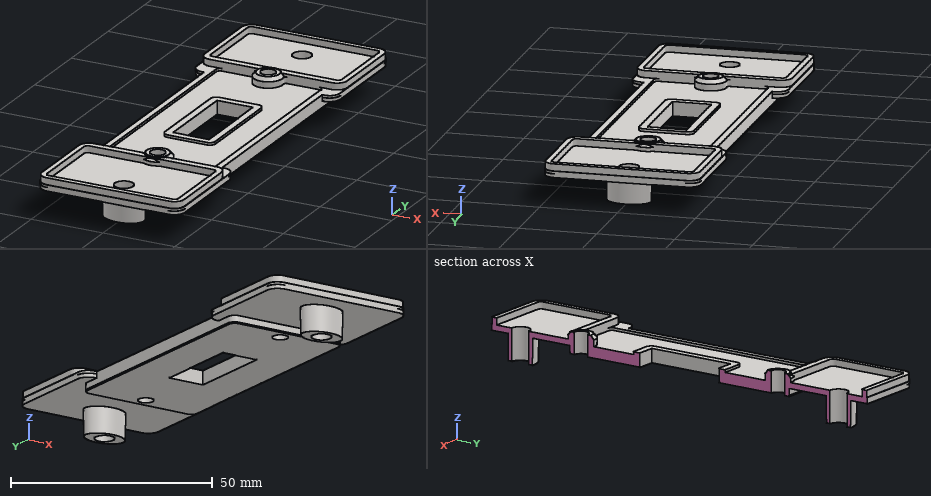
import cadquery as cq

PLATE_TOP = 1.7
RIM_TOP = 3.5
STRIP_BOTTOM = -2.1
STRIP_FLOOR = 1.0
PILLAR_BOTTOM = -7.0
BOSS_SHOULDER = 2.7
BOSS_TOP = 3.8

LENGTH = 114.6
PLATE_WIDTH = 40.0
PLATE_LENGTH = 30.0
PLATE_RADIUS = 2.9
FOOT_RADIUS = 3.1
FOOT_TOP = 1.0
TRAY_LENGTH = 25.9
RIM_INSET = 0.1
TRAY_WALL = 1.7
TRAY_INNER_WALL = 2.1
TRAY_POCKET_RADIUS = 1.0

STRIP_WIDTH = 33.0
STRIP_LENGTH = 66.9
STRIP_RADIUS = 2.0
STRIP_EDGE_HEIGHT = 0.3
STRIP_EDGE_INSET = 0.1
STRIP_WALL = 1.8
STRIP_POCKET_RADIUS = 1.0

WINDOW_WIDTH = 10.0
WINDOW_LENGTH = 24.0
FRAME_WALL = 2.1
FRAME_RADIUS = 1.6

BOSS_Y = 30.0
BOSS_RADIUS = 4.0
BOSS_TOP_RADIUS = 3.1
BOSS_HOLE = 4.0
BOSS_BLEND_RADIUS = 0.6
BOSS_BLEND_WIDTH = 11.5

PILLAR_Y = 48.5
PILLAR_WIDTH = 11.6
PILLAR_DEPTH = 7.7
PILLAR_INSET = 0.1
PILLAR_HOLE = 5.0

HALF_LENGTH = LENGTH / 2
TRAY_INNER_Y = HALF_LENGTH - TRAY_LENGTH


def rounded_block(width, length, radius, bottom, top, y=0):
    """Block with rounded upright corners, centred on X = 0."""
    outline = cq.Sketch().rect(width, length).vertices().fillet(radius)
    plane = cq.Workplane("XY", origin=(0, y, bottom))
    return plane.placeSketch(outline).extrude(top - bottom)


def cylinder(radius, y, bottom, top):
    return cq.Workplane("XY", origin=(0, y, bottom)).circle(radius).extrude(top - bottom)


def end_plate():
    """Plate and tray rim at the +Y end; the plate's corners are cut back a little at the foot."""
    plate_y = HALF_LENGTH - PLATE_LENGTH / 2
    rim_width = PLATE_WIDTH - 2 * RIM_INSET
    rim_length = TRAY_LENGTH - RIM_INSET
    rim_y = TRAY_INNER_Y + rim_length / 2
    foot = rounded_block(PLATE_WIDTH, PLATE_LENGTH, FOOT_RADIUS, 0, FOOT_TOP, plate_y)
    plate = rounded_block(PLATE_WIDTH, PLATE_LENGTH, PLATE_RADIUS, FOOT_TOP, PLATE_TOP, plate_y)
    rim = rounded_block(rim_width, rim_length, PLATE_RADIUS, PLATE_TOP, RIM_TOP, rim_y)
    return foot.union(plate).union(rim)


def tray_pocket():
    outer_y = HALF_LENGTH - TRAY_WALL
    inner_y = TRAY_INNER_Y + TRAY_INNER_WALL
    return rounded_block(
        PLATE_WIDTH - 2 * TRAY_WALL, outer_y - inner_y, TRAY_POCKET_RADIUS,
        PLATE_TOP, RIM_TOP, (outer_y + inner_y) / 2,
    )


def strip():
    """Connecting strip, its narrow lower edge slightly bevelled."""
    body = rounded_block(STRIP_WIDTH, STRIP_LENGTH, STRIP_RADIUS, STRIP_BOTTOM, PLATE_TOP)
    return body.faces("<Z").chamfer(STRIP_EDGE_HEIGHT, STRIP_EDGE_INSET)


def strip_pocket():
    """Sunken floor between the trays, leaving the window frame standing."""
    pocket = rounded_block(
        STRIP_WIDTH - 2 * STRIP_WALL, 2 * TRAY_INNER_Y, STRIP_POCKET_RADIUS,
        STRIP_FLOOR, PLATE_TOP,
    )
    frame = rounded_block(
        WINDOW_WIDTH + 2 * FRAME_WALL, WINDOW_LENGTH + 2 * FRAME_WALL, FRAME_RADIUS,
        STRIP_FLOOR, PLATE_TOP,
    )
    return pocket.cut(frame)


def window():
    plane = cq.Workplane("XY", origin=(0, 0, STRIP_BOTTOM))
    return plane.rect(WINDOW_WIDTH, WINDOW_LENGTH).extrude(PLATE_TOP - STRIP_BOTTOM)


def boss():
    """Round boss with a conical top, blended into the tray wall it stands on."""
    base = (
        cq.Workplane("XY", origin=(0, TRAY_INNER_Y + TRAY_INNER_WALL / 2, STRIP_FLOOR))
        .rect(BOSS_BLEND_WIDTH, TRAY_INNER_WALL)
        .extrude(BOSS_SHOULDER - STRIP_FLOOR)
        .union(cylinder(BOSS_RADIUS, BOSS_Y, STRIP_FLOOR, BOSS_SHOULDER))
    )
    blend_reach = BOSS_BLEND_WIDTH / 2 - BOSS_BLEND_RADIUS
    concave = cq.selectors.BoxSelector(
        (-blend_reach, 0, 0), (blend_reach, HALF_LENGTH, RIM_TOP)
    )
    base = base.edges("|Z").edges(concave).fillet(BOSS_BLEND_RADIUS)
    top = (
        cq.Workplane("XY", origin=(0, BOSS_Y, BOSS_SHOULDER))
        .circle(BOSS_RADIUS)
        .workplane(offset=BOSS_TOP - BOSS_SHOULDER)
        .circle(BOSS_TOP_RADIUS)
        .loft()
    )
    return base.union(top)


def pillar():
    """Oval pillar, slimmer at its foot."""
    return (
        cq.Workplane("XY", origin=(0, PILLAR_Y, 0))
        .ellipse(PILLAR_WIDTH / 2, PILLAR_DEPTH / 2, 180)
        .workplane(offset=PILLAR_BOTTOM)
        .ellipse(PILLAR_WIDTH / 2 - PILLAR_INSET, PILLAR_DEPTH / 2 - PILLAR_INSET, 180)
        .loft()
    )


def both_ends(shape):
    """The shape together with its mirror image at the -Y end."""
    return shape.union(shape.mirror("XZ"))


def boss_hole():
    return cylinder(BOSS_HOLE / 2, BOSS_Y, STRIP_BOTTOM, BOSS_TOP)


def pillar_hole():
    return cylinder(PILLAR_HOLE / 2, PILLAR_Y, PILLAR_BOTTOM, RIM_TOP)


body = strip().union(both_ends(end_plate()))
body = body.cut(strip_pocket()).cut(both_ends(tray_pocket())).cut(window())
body = body.union(both_ends(boss())).union(both_ends(pillar()))
body = body.cut(both_ends(boss_hole())).cut(both_ends(pillar_hole()))
result = body.solids()